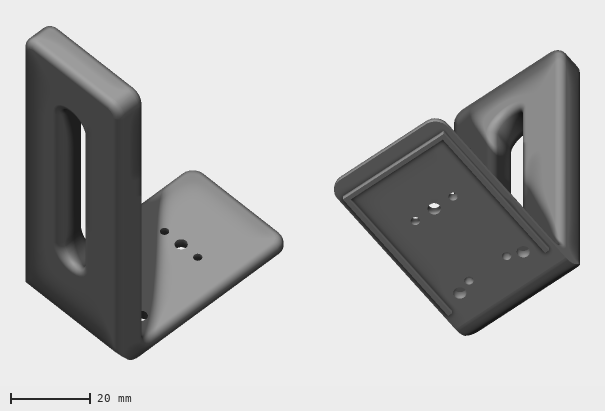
import cadquery as cq
import math

width = 35.0
depth = 60.0
height = 101.5
wall_thickness = 9.0
foot_thickness = 3.0
corner_radius = 4.0
edge_radius = 2.0
inner_bend_radius = 3.2

bevel_height = 6.3
bevel_angle = 54.0
heel_radius = 5.1

rim_width = 32.0
rim_length = 43.5
rim_height = 1.5
rim_back_margin = 4.3
rim_wall = 1.2

slot_width = 8.5
slot_length = 58.4
slot_center_z = 56.5

small_hole_diameter = 2.3
large_hole_diameter = 3.3
small_hole_x = 6.0
large_hole_x = 10.0
back_row_y = 38.8
front_row_y = 16.5
large_pair_y = 15.0

foot_bottom = rim_height
foot_top = foot_bottom + foot_thickness


def extrude_along_x(profile):
    """Extrude a YZ profile over the full width, centered on X = 0."""
    return profile.extrude(width / 2, both=True)


def make_bracket():
    """L-shaped body with rounded corners, rounded edges and a rounded inner bend."""
    body = extrude_along_x(
        cq.Workplane("YZ")
        .moveTo(0, foot_bottom)
        .lineTo(depth, foot_bottom)
        .lineTo(depth, foot_top)
        .lineTo(wall_thickness + inner_bend_radius, foot_top)
        .radiusArc((wall_thickness, foot_top + inner_bend_radius), inner_bend_radius)
        .lineTo(wall_thickness, height)
        .lineTo(0, height)
        .close()
    )
    body = body.faces(">Z").edges("|Y").fillet(corner_radius)
    body = body.faces(">Y").edges("|Z").fillet(corner_radius)

    inner_edge = cq.selectors.NearestToPointSelector((0, wall_thickness, height))
    body = body.edges(inner_edge).fillet(edge_radius)
    outer_edge = cq.selectors.NearestToPointSelector((0, 0, height))
    return body.edges(outer_edge).fillet(edge_radius)


def make_heel_cutter():
    """Material outside the sloping bevel and the arc that blends it into the foot."""
    angle = math.radians(bevel_angle)
    bevel_depth = bevel_height / math.tan(angle)
    tangent_length = heel_radius * math.tan(angle / 2)
    arc_start_y = bevel_depth - tangent_length * math.cos(angle)
    arc_start_z = foot_bottom + tangent_length * math.sin(angle)
    arc_end_y = bevel_depth + tangent_length
    return extrude_along_x(
        cq.Workplane("YZ")
        .moveTo(0, foot_bottom)
        .lineTo(0, foot_bottom + bevel_height)
        .lineTo(arc_start_y, arc_start_z)
        .radiusArc((arc_end_y, foot_bottom), -heel_radius)
        .close()
    )


def make_rim():
    """Three-sided rim: two side rails and a back wall, open toward the bracket's heel."""
    back_y = depth - rim_back_margin
    front_y = back_y - rim_length
    outer_x = rim_width / 2
    inner_x = outer_x - rim_wall
    return (
        cq.Workplane("XY")
        .moveTo(-outer_x, front_y)
        .lineTo(-outer_x, back_y)
        .lineTo(outer_x, back_y)
        .lineTo(outer_x, front_y)
        .lineTo(inner_x, front_y)
        .lineTo(inner_x, back_y - rim_wall)
        .lineTo(-inner_x, back_y - rim_wall)
        .lineTo(-inner_x, front_y)
        .close()
        .extrude(rim_height)
    )


def cut_slot(body):
    """Cut the slot through the wall and round its rim on both faces."""
    slot = (
        cq.Workplane("XZ")
        .center(0, slot_center_z)
        .slot2D(slot_length, slot_width, 90)
        .extrude(-wall_thickness)
    )
    body = body.cut(slot)
    for face_y in (0, wall_thickness):
        rim = cq.selectors.NearestToPointSelector((slot_width / 2, face_y, slot_center_z))
        body = body.edges(rim).fillet(edge_radius)
    return body


def make_holes(diameter, centers):
    return cq.Workplane("XY").pushPoints(centers).circle(diameter / 2).extrude(foot_top)


small_holes = [(side * small_hole_x, y) for side in (-1, 1) for y in (front_row_y, back_row_y)]
large_holes = [(-large_hole_x, large_pair_y), (large_hole_x, large_pair_y), (0, back_row_y)]

result = cut_slot(make_bracket().cut(make_heel_cutter()))
result = result.union(make_rim())
result = result.cut(make_holes(small_hole_diameter, small_holes))
result = result.cut(make_holes(large_hole_diameter, large_holes))